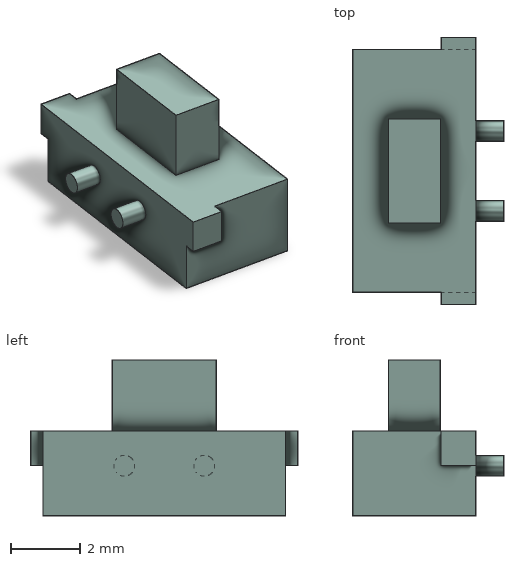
import cadquery as cq

body_x = 3.55
body_y = 7.0
body_z = 2.45

overall_y = 7.7
ear_size = 1.0

knob_x = 1.5
knob_y = 3.0
knob_z = 2.05

pin_diameter = 0.6
pin_length = 0.8
pin_spacing = 2.3
pin_height = body_z - ear_size


def make_housing():
    return cq.Workplane("XY").box(body_x, body_y, body_z, centered=(True, True, False))


def make_ears():
    """One bar across the housing whose two ends stick out as ears."""
    return (
        cq.Workplane("XY")
        .box(ear_size, overall_y, ear_size, centered=(False, True, False))
        .translate((body_x / 2 - ear_size, 0, body_z - ear_size))
    )


def make_knob():
    return (
        cq.Workplane("XY")
        .workplane(offset=body_z)
        .rect(knob_x, knob_y)
        .extrude(knob_z)
    )


def make_pins():
    return (
        cq.Workplane("YZ")
        .workplane(offset=body_x / 2)
        .pushPoints([(side * pin_spacing / 2, pin_height) for side in (-1, 1)])
        .circle(pin_diameter / 2)
        .extrude(pin_length)
    )


result = make_housing().union(make_ears()).union(make_knob()).union(make_pins())